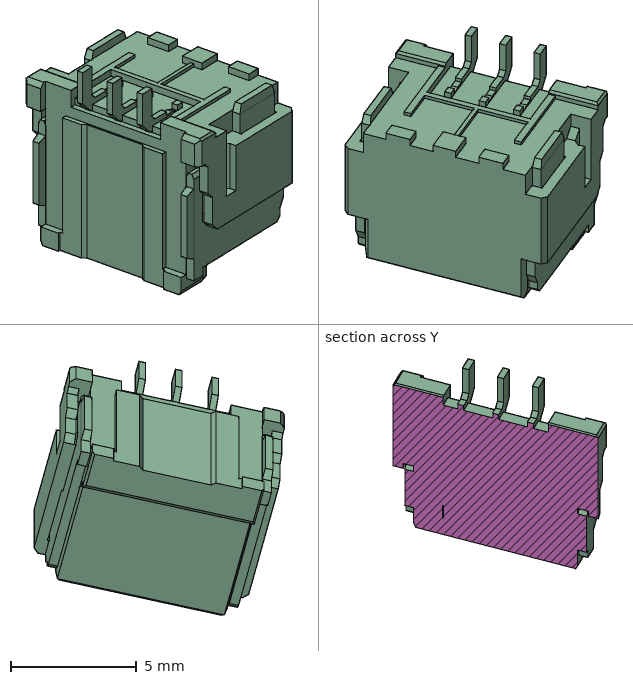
import cadquery as cq

half_width = 4.4
core_half = 3.52
depth = 6.4
pin_top = 8.5
block_top = 7.25
rib_top = 7.09
deck = 6.95
wall_top = 6.02
wall_bottom = 2.77
core_bottom = 0.81
frame_y = 0.39
block_front = 0.07
block_back = 1.19
bevel = 0.2
small_bevel = 0.1
lower_block_inner = 2.64
lower_block_top = 0.82

wall_step = 0.99
wall_step_bottom = 3.08
wall_front = 1.285

clip_outer = 3.9
slot_outer = 3.96
clip_slot_front = 3.43
clip_slot_back = 5.75

pocket_half = 2.24
pocket_back = 3.0
pocket_floor = 6.79
sill_back = 0.65
sill_top = 6.49

pin_pitch = 1.5
pin_width = 0.27
pin_depth = 0.62

side_rib_outer = 2.54
side_rib_back = 4.585
cross_rib_back = 3.24
centre_rib_half = 0.09
centre_pad_half = 0.49
centre_pad_front = 5.39
side_pad_inner = 1.5
side_pad_front = 5.8


def box(x0, x1, y0, y1, z0, z1):
    return cq.Workplane("XY").box(x1 - x0, y1 - y0, z1 - z0, centered=False).translate((x0, y0, z0))


def profile_along_x(points, x0, x1):
    """Extrude a (Y, Z) outline from x0 to x1."""
    return cq.Workplane("YZ").polyline(points).close().extrude(x1 - x0).translate((x0, 0, 0))


def profile_along_y(points, y0, y1):
    """Extrude an (X, Z) outline from y0 to y1."""
    return cq.Workplane("XZ").polyline(points).close().extrude(y0 - y1).translate((0, y0, 0))


def profile_along_z(points, z0, z1):
    """Extrude an (X, Y) outline from z0 to z1."""
    return cq.Workplane("XY").polyline(points).close().extrude(z1 - z0).translate((0, 0, z0))


def corner_triangle(u, v, du, dv):
    """Right triangle at corner (u, v), with legs du and dv."""
    return [(u, v), (u + du, v), (u, v + dv)]


def both_sides(shape):
    return shape.union(shape.mirror("YZ"))


def make_core():
    """Central housing block with the foot and the frame at its front."""
    foot_back = 1.725
    foot_top = 0.62
    housing_front = foot_back + core_bottom - foot_top
    core = profile_along_x(
        [
            (frame_y, 0),
            (foot_back - bevel, 0),
            (foot_back, bevel),
            (foot_back, foot_top),
            (housing_front, core_bottom),
            (depth - small_bevel, core_bottom),
            (depth, core_bottom + small_bevel),
            (depth, deck),
            (block_back, deck),
            (block_back, block_top - small_bevel),
            (block_back - small_bevel, block_top),
            (frame_y, block_top),
        ],
        -core_half,
        core_half,
    )
    lower_block = box(lower_block_inner, core_half, block_front, frame_y, 0, lower_block_top)
    core = core.union(both_sides(lower_block))

    housing_bevel = 0.4
    housing_bevel_top = core_bottom + housing_bevel
    foot_cut = profile_along_y(corner_triangle(core_half, 0, -small_bevel, bevel), 0, foot_back)
    housing_cut = profile_along_y(
        corner_triangle(core_half, core_bottom, -small_bevel, housing_bevel),
        housing_front,
        depth,
    )
    behind_foot = profile_along_x(
        [
            (housing_front, core_bottom),
            (housing_front + housing_bevel, housing_bevel_top),
            (depth, housing_bevel_top),
            (depth, core_bottom),
        ],
        core_half - small_bevel,
        core_half,
    )
    rear_cut = profile_along_z(
        corner_triangle(core_half, depth, -bevel, -bevel),
        0,
        wall_bottom,
    )
    cuts = foot_cut.union(housing_cut.intersect(behind_foot)).union(rear_cut)
    return core.cut(both_sides(cuts))


def make_front_panel():
    """Raised panel inside the frame, with a sunken middle between sloped shoulders."""
    outer, shoulder, inner = 2.51, 1.57, 1.39
    raised_y, sunk_y = 0.18, 0.31
    right_half = [(outer, frame_y), (outer, raised_y), (shoulder, raised_y), (inner, sunk_y)]
    left_half = [(-x, y) for x, y in reversed(right_half)]
    panel = profile_along_z(right_half + left_half, 0, wall_top)
    widening = box(outer, lower_block_inner, raised_y, frame_y, 0, lower_block_top)
    return panel.union(both_sides(widening))


def make_side():
    """Side wall, upper corner block and clip slot on the +X side."""
    web_front = 1.89
    web_run, web_rise = 0.405, 0.33
    groove_bottom = 3.995
    groove_back = 2.5
    step_mid = 0.69
    mid_slope_top = 4.62
    mid_slope_bottom = mid_slope_top - (wall_step - step_mid)
    wall = profile_along_x(
        [
            (step_mid - bevel, wall_top),
            (step_mid, wall_top - bevel),
            (step_mid, mid_slope_top),
            (wall_step, mid_slope_bottom),
            (wall_step, wall_step_bottom),
            (wall_front, wall_bottom),
            (depth, wall_bottom),
            (depth, wall_top),
        ],
        core_half,
        half_width,
    )
    wall = wall.edges("|Z and >X and >Y").chamfer(bevel)

    corner = box(core_half, half_width, block_front, block_back, wall_top, block_top)
    corner = corner.edges("|Z and >X and <Y").chamfer(bevel)
    top_side = profile_along_y(
        corner_triangle(half_width, block_top, -small_bevel, -small_bevel),
        0,
        block_back,
    )
    top_back = profile_along_x(
        corner_triangle(block_back, block_top, -small_bevel, -small_bevel),
        core_half,
        half_width,
    )
    top_front = profile_along_x(
        corner_triangle(block_front, block_top, bevel, -bevel),
        core_half,
        half_width,
    )
    corner = corner.cut(top_side).cut(top_back).cut(top_front)
    shoulder = box(core_half, half_width, block_back, web_front, wall_top, deck)

    web = profile_along_x(
        corner_triangle(web_front, wall_top, web_run, web_rise),
        core_half,
        clip_outer,
    )
    groove = profile_along_z(
        [
            (half_width, web_front),
            (clip_outer, web_front),
            (clip_outer, groove_back - bevel),
            (clip_outer + bevel, groove_back),
            (half_width, groove_back),
        ],
        groove_bottom,
        wall_top,
    )
    tab_slot = box(core_half, slot_outer, clip_slot_front, clip_slot_back, wall_bottom, wall_top)
    slot_back = 1.06
    slot_slope_top = 3.41
    front_slot = profile_along_x(
        [
            (0, wall_bottom),
            (wall_front, wall_bottom),
            (slot_back, slot_slope_top),
            (slot_back, wall_top),
            (0, wall_top),
        ],
        core_half,
        slot_outer,
    )
    return wall.cut(tab_slot).cut(front_slot).cut(groove).union(corner).union(shoulder).union(web)


def make_clip():
    """Clip plate on the +X side with a tab at the top and a contact pad at the front."""
    front, back, waist = 0.405, 6.29, 6.05
    foot_back, foot_bottom = 1.01, 0.64
    plate_bottom = 1.0
    back_slope_bottom, back_slope_top = 1.54, 1.99
    arm_bottom, arm_top = 3.96, 5.42
    taper = 0.035

    plate = profile_along_x(
        [
            (front, foot_bottom),
            (foot_back, foot_bottom),
            (foot_back, plate_bottom),
            (waist - bevel, plate_bottom),
            (waist, plate_bottom + bevel),
            (waist, back_slope_bottom),
            (back, back_slope_top),
            (back, wall_bottom),
            (wall_front, wall_bottom),
            (wall_step, wall_step_bottom),
            (wall_step, arm_bottom),
            (front, arm_bottom),
        ],
        core_half,
        clip_outer,
    )
    arm = profile_along_y(
        [
            (core_half, arm_bottom),
            (core_half, arm_top - bevel),
            (core_half + small_bevel, arm_top),
            (clip_outer - small_bevel, arm_top),
            (clip_outer, arm_top - bevel),
            (clip_outer, arm_bottom),
        ],
        front,
        wall_step,
    )

    pad_bottom, pad_top = 1.63, 4.79
    pad_slope = 0.185
    pad_ends = profile_along_x(
        [(front, pad_bottom), (0, pad_bottom + pad_slope), (0, pad_top - pad_slope), (front, pad_top)],
        core_half,
        clip_outer,
    )
    pad_sides = profile_along_z(
        [(core_half, front), (core_half + taper, 0), (clip_outer - taper, 0), (clip_outer, front)],
        pad_bottom,
        pad_top,
    )
    tab_neck, tab_tip = 6.88, 7.28
    tab_front, tab_back = 3.42, 5.7
    tab_slope = 0.13
    tab_body = box(core_half, clip_outer, tab_front, tab_back, wall_bottom, tab_neck)
    tip_ends = profile_along_x(
        [
            (tab_front, tab_neck),
            (tab_back, tab_neck),
            (tab_back - tab_slope, tab_tip),
            (tab_front + tab_slope, tab_tip),
        ],
        core_half,
        clip_outer,
    )
    tip_sides = profile_along_y(
        [
            (core_half, tab_neck),
            (core_half + taper, tab_tip),
            (clip_outer - taper, tab_tip),
            (clip_outer, tab_neck),
        ],
        tab_front,
        tab_back,
    )
    pad = pad_ends.intersect(pad_sides)
    tip = tip_ends.intersect(tip_sides)
    return plate.union(arm).union(pad).union(tab_body).union(tip)


def cut_pin_pocket(body):
    pocket = box(-pocket_half, pocket_half, sill_back, pocket_back, pocket_floor, block_top)
    sill = box(-pocket_half, pocket_half, 0, sill_back, sill_top, block_top)
    return body.cut(pocket).cut(sill)


def add_deck_details(body):
    side_rib = box(pocket_half, side_rib_outer, block_back, side_rib_back, deck, rib_top)
    side_pad = box(side_pad_inner, side_rib_outer, side_pad_front, depth, deck, block_top)
    cross_rib = box(-pocket_half, pocket_half, pocket_back, cross_rib_back, deck, rib_top)
    centre_rib = box(-centre_rib_half, centre_rib_half, cross_rib_back, centre_pad_front, deck, rib_top)
    centre_pad = box(-centre_pad_half, centre_pad_half, centre_pad_front, depth, deck, block_top)
    body = body.union(both_sides(side_rib)).union(both_sides(side_pad))
    return body.union(cross_rib).union(centre_rib).union(centre_pad)


def make_pin(x):
    """Pin standing at the front, its lead running back along the pocket floor."""
    lead_top, notch_top = 7.04, 6.89
    notch_front, notch_slope = 1.58, 1.95
    slope_foot, stub_front, stub_back = 2.23, 2.29, 2.63
    underside = 6.56
    bend = 0.52
    return profile_along_x(
        [
            (0, pin_top),
            (pin_depth, pin_top),
            (pin_depth, lead_top + bevel),
            (pin_depth + bevel, lead_top),
            (notch_front, lead_top),
            (notch_front, notch_top),
            (notch_slope, notch_top),
            (slope_foot, pocket_floor),
            (stub_front, pocket_floor),
            (stub_front, lead_top),
            (stub_back, lead_top),
            (stub_back, underside),
            (bend, underside),
            (0, underside + bend),
        ],
        x - pin_width / 2,
        x + pin_width / 2,
    )


body = make_core().union(make_front_panel())
body = body.union(both_sides(make_side())).union(both_sides(make_clip()))
body = cut_pin_pocket(body)
body = add_deck_details(body)
for position in (-1, 0, 1):
    body = body.union(make_pin(position * pin_pitch))

result = body